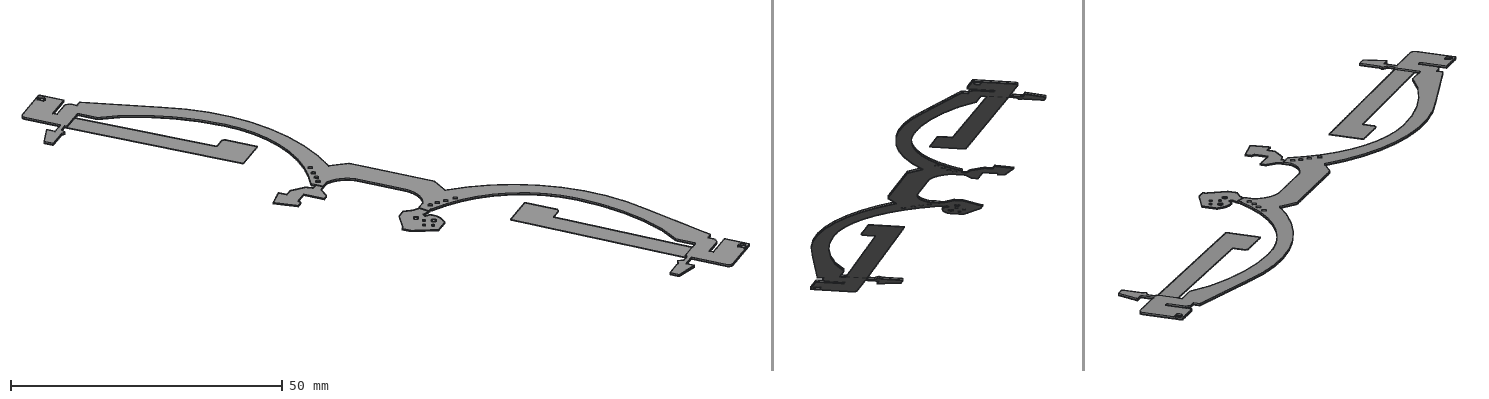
import cadquery as cq
import math


SHEET_THICKNESS = 0.1
TOTAL_THICKNESS = 0.45
TAG_THICKNESS = 0.3
FRAME_LAYER = TOTAL_THICKNESS - SHEET_THICKNESS
TAG_LAYER = TAG_THICKNESS - SHEET_THICKNESS

BRIDGE_TOP_Y = 5.5
BRIDGE_TOP_X = 8.5
ARCH_Y = 0.7
ARCH_FLAT_X = 5.1
ARCH_MID = (8.0, -0.4)
ARCH_END_Y = -2.5
NECK_INNER_X = 9.7
NECK_OUTER_X = 12.0
NECK_END_Y = -4.1

BROW_PEAK = (36.9, 13.0)
BROW_RADIUS = 37.6
BROW_START_X = 11.6
BROW_STRAIGHT_X = 48.3

LENS_PEAK = (35.2, 10.0)
LENS_NOSE_RADIUS = 26.0
LENS_TEMPLE_RADIUS = 42.6
LENS_NOSE_X = 13.8
LENS_STRAIGHT_X = 54.0
LENS_CORNER = (57.8, 3.1)

END_X = 71.0
END_TOP_Y = 6.7
END_BOTTOM_Y = -2.0
END_CORNER_RADIUS = 0.9
SLOT_INNER_X = 65.2
SLOT_WIDTH = 0.9
SLOT_BOTTOM_Y = 1.4
SHELF_Y = 5.8
SHELF_CHAMFER = 0.7
SHELF_END_X = 63.0
BROW_END_Y = 7.1
ARM_ROOT_X = 61.8

LEG_INNER_X = 62.2
LEG_OUTER_X = 63.0
LEG_SPUR = (61.2, -4.1)
LEG_SPUR_TOP_Y = -3.5
LEG_SPUR_BOTTOM_Y = -4.8
LEG_BARB = (64.8, -4.5)
LEG_TIP_Y = -8.8
LEG_TIP_INNER_X = 61.6
LEG_TIP_OUTER_X = 63.5

EYELET_X = 70.0
EYELET_BOTTOM_Y = 5.0
EYELET_WIDTH = 1.3
EYELET_HEIGHT = 1.3

ARM_ROOT_TOP_Y = 2.0
ARM_NECK_TOP_Y = 2.4
ARM_BOTTOM_Y = -1.5
PAD_INNER_X = 26.7
PAD_OUTER_X = 33.7
PAD_TOP_Y = 5.3
PAD_CHAMFER = 0.4

LEFT_TAG = [
    (-9.7, -4.0), (-9.7, -5.1), (-7.8, -6.8), (-7.8, -8.0), (-11.9, -8.0),
    (-11.9, -10.7), (-11.2, -11.0), (-11.2, -12.2), (-15.9, -13.0), (-16.5, -9.2),
    (-14.8, -9.2), (-14.8, -7.7), (-12.6, -5.4), (-11.2, -5.1), (-11.2, -4.0),
]
RIGHT_TAG = [
    (9.7, -4.0), (9.7, -4.4), (9.0, -5.5), (7.4, -6.7), (7.4, -8.5), (9.7, -12.0), (9.7, -12.6),
    (11.5, -12.6), (16.0, -10.4), (16.0, -7.4), (14.8, -6.2), (13.6, -5.8),
    (12.5, -5.8), (11.8, -6.7), (11.2, -6.2), (11.8, -5.1), (11.8, -4.0),
]
RIGHT_NECK_TIP = [(9.7, -4.0), (9.7, -4.5), (11.8, -5.0), (11.9, -4.0)]
TAG_LARGE_HOLES = [(10.5, -8.0), (13.9, -7.5)]
TAG_SMALL_HOLES = [(12.2, -8.2), (12.9, -9.8), (14.5, -9.2)]
TAG_LARGE_RADIUS = 0.5
TAG_SMALL_RADIUS = 0.3

CONTACTS = [(11.2, -2.8), (12.0, -1.5), (13.2, -0.3), (14.5, 1.3)]
CONTACT_RADIUS = 0.4


def on_circle(peak, radius, x):
    """Point at x on the upper half of a circle whose highest point is peak."""
    peak_x, peak_y = peak
    return (x, peak_y - radius + math.sqrt(radius**2 - (x - peak_x) ** 2))


def brow_point(x):
    return on_circle(BROW_PEAK, BROW_RADIUS, x)


def lens_nose_point(x):
    return on_circle(LENS_PEAK, LENS_NOSE_RADIUS, x)


def lens_temple_point(x):
    return on_circle(LENS_PEAK, LENS_TEMPLE_RADIUS, x)


def plate(points, bottom, thickness):
    """Flat plate with a straight-sided outline, its underside at height bottom."""
    return cq.Workplane(origin=(0, 0, bottom)).polyline(points).close().extrude(thickness)


def both_sides(half):
    return half.union(half.mirror("YZ"))


def half_frame(bottom, thickness):
    """Half bridge, brow, temple end and leg on the +X side."""
    slot_outer_x = SLOT_INNER_X + SLOT_WIDTH
    brow_mid = brow_point((BROW_START_X + BROW_STRAIGHT_X) / 2)
    lens_temple_mid = lens_temple_point((LENS_STRAIGHT_X + LENS_PEAK[0]) / 2)
    lens_nose_mid = lens_nose_point((LENS_NOSE_X + LENS_PEAK[0]) / 2)
    outline = (
        cq.Workplane(origin=(0, 0, bottom))
        .moveTo(0, BRIDGE_TOP_Y)
        .lineTo(BRIDGE_TOP_X, BRIDGE_TOP_Y)
        .lineTo(*brow_point(BROW_START_X))
        .threePointArc(brow_mid, brow_point(BROW_STRAIGHT_X))
        .lineTo(SHELF_END_X, BROW_END_Y)
        .lineTo(SHELF_END_X, SHELF_Y)
        .lineTo(SLOT_INNER_X - SHELF_CHAMFER, SHELF_Y)
        .lineTo(SLOT_INNER_X, SHELF_Y - SHELF_CHAMFER)
        .lineTo(SLOT_INNER_X, SLOT_BOTTOM_Y)
        .lineTo(slot_outer_x, SLOT_BOTTOM_Y)
        .lineTo(slot_outer_x, END_TOP_Y)
        .lineTo(END_X, END_TOP_Y)
        .lineTo(END_X, END_BOTTOM_Y + END_CORNER_RADIUS)
        .radiusArc((END_X - END_CORNER_RADIUS, END_BOTTOM_Y), END_CORNER_RADIUS)
        .lineTo(LEG_OUTER_X, END_BOTTOM_Y)
        .lineTo(LEG_OUTER_X, LEG_BARB[1])
        .lineTo(*LEG_BARB)
        .lineTo(LEG_TIP_OUTER_X, LEG_TIP_Y)
        .lineTo(LEG_TIP_INNER_X, LEG_TIP_Y)
        .lineTo(LEG_TIP_INNER_X, LEG_SPUR_BOTTOM_Y)
        .lineTo(*LEG_SPUR)
        .lineTo(LEG_INNER_X, LEG_SPUR_TOP_Y)
        .lineTo(LEG_INNER_X, END_BOTTOM_Y)
        .lineTo(ARM_ROOT_X, END_BOTTOM_Y)
        .lineTo(ARM_ROOT_X, LENS_CORNER[1])
        .lineTo(*LENS_CORNER)
        .lineTo(*lens_temple_point(LENS_STRAIGHT_X))
        .threePointArc(lens_temple_mid, LENS_PEAK)
        .threePointArc(lens_nose_mid, lens_nose_point(LENS_NOSE_X))
        .lineTo(NECK_OUTER_X, NECK_END_Y)
        .lineTo(NECK_INNER_X, NECK_END_Y)
        .lineTo(NECK_INNER_X, ARCH_END_Y)
        .threePointArc(ARCH_MID, (ARCH_FLAT_X, ARCH_Y))
        .lineTo(0, ARCH_Y)
        .close()
    )
    return outline.extrude(thickness).cut(eyelet(bottom, thickness))


def eyelet(bottom, thickness):
    """Cutter with a flat lower side and a domed upper side."""
    left = (EYELET_X - EYELET_WIDTH / 2, EYELET_BOTTOM_Y)
    right = (EYELET_X + EYELET_WIDTH / 2, EYELET_BOTTOM_Y)
    crown = (EYELET_X, EYELET_BOTTOM_Y + EYELET_HEIGHT)
    return (
        cq.Workplane(origin=(0, 0, bottom))
        .moveTo(*left)
        .lineTo(*right)
        .threePointArc(crown, left)
        .close()
        .extrude(thickness)
    )


def frame(bottom, thickness):
    right_neck_tip = plate(RIGHT_NECK_TIP, bottom, thickness)
    return both_sides(half_frame(bottom, thickness)).union(right_neck_tip)


def holes(centers, radius, bottom, thickness):
    return cq.Workplane(origin=(0, 0, bottom)).pushPoints(centers).circle(radius).extrude(thickness)


def nose_tags(bottom, thickness):
    left_tag = plate(LEFT_TAG, bottom, thickness)
    right_tag = (
        plate(RIGHT_TAG, bottom, thickness)
        .cut(holes(TAG_LARGE_HOLES, TAG_LARGE_RADIUS, bottom, thickness))
        .cut(holes(TAG_SMALL_HOLES, TAG_SMALL_RADIUS, bottom, thickness))
    )
    return left_tag.union(right_tag)


def lens_arms():
    """Tapered strips that run from the temple ends to a rectangular pad inside each lens."""
    arm_outline = [
        (ARM_ROOT_X, ARM_ROOT_TOP_Y),
        (PAD_OUTER_X, ARM_NECK_TOP_Y),
        (PAD_OUTER_X, PAD_TOP_Y - PAD_CHAMFER),
        (PAD_OUTER_X - PAD_CHAMFER, PAD_TOP_Y),
        (PAD_INNER_X, PAD_TOP_Y),
        (PAD_INNER_X, ARM_BOTTOM_Y),
        (ARM_ROOT_X, END_BOTTOM_Y),
    ]
    return both_sides(plate(arm_outline, 0, SHEET_THICKNESS))


def make_sheet():
    """Flexible bottom layer over the whole outline, including the lens arms."""
    tags = nose_tags(0, SHEET_THICKNESS)
    return frame(0, SHEET_THICKNESS).union(tags).union(lens_arms())


def make_stiffener():
    """Upper layer on the frame, thinner on the nose tags and open over the contacts."""
    openings = both_sides(holes(CONTACTS, CONTACT_RADIUS, SHEET_THICKNESS, FRAME_LAYER))
    tags = nose_tags(SHEET_THICKNESS, TAG_LAYER)
    return frame(SHEET_THICKNESS, FRAME_LAYER).cut(openings).union(tags)


sheet = make_sheet()
stiffener = make_stiffener()

result = cq.Compound.makeCompound([*sheet.solids().vals(), *stiffener.solids().vals()])